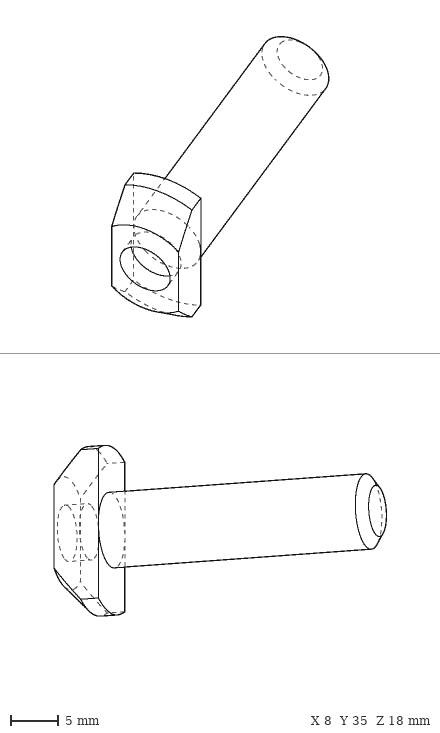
import cadquery as cq

total_length = 35.0
shank_diameter = 8.0
head_diameter = 18.0

head_thickness = 5.0
head_rim_thickness = 2.0
head_face_diameter = 12.0

end_chamfer_length = 1.0
end_face_diameter = 5.42

hole_diameter = 6.0
hole_wall_depth = 2.5
hole_cone_depth = 1.0


def revolve_about_y(profile):
    """Revolve a closed (radius, y) outline around the Y axis."""
    outline = cq.Workplane("XY").polyline(profile).close()
    return outline.revolve(360, (0, 0, 0), (0, 1, 0))


def make_head():
    rim_radius = head_diameter / 2
    disc = revolve_about_y([
        (0, 0),
        (head_face_diameter / 2, 0),
        (rim_radius, head_thickness - head_rim_thickness),
        (rim_radius, head_thickness),
        (0, head_thickness),
    ])
    width_limit = cq.Workplane("XY").box(
        shank_diameter, head_thickness, head_diameter, centered=(True, False, True)
    )
    return disc.intersect(width_limit)


def make_shank():
    radius = shank_diameter / 2
    return revolve_about_y([
        (0, head_thickness),
        (radius, head_thickness),
        (radius, total_length - end_chamfer_length),
        (end_face_diameter / 2, total_length),
        (0, total_length),
    ])


def make_hole():
    radius = hole_diameter / 2
    return revolve_about_y([
        (0, 0),
        (radius, 0),
        (radius, hole_wall_depth),
        (0, hole_wall_depth + hole_cone_depth),
    ])


result = make_head().union(make_shank()).cut(make_hole())